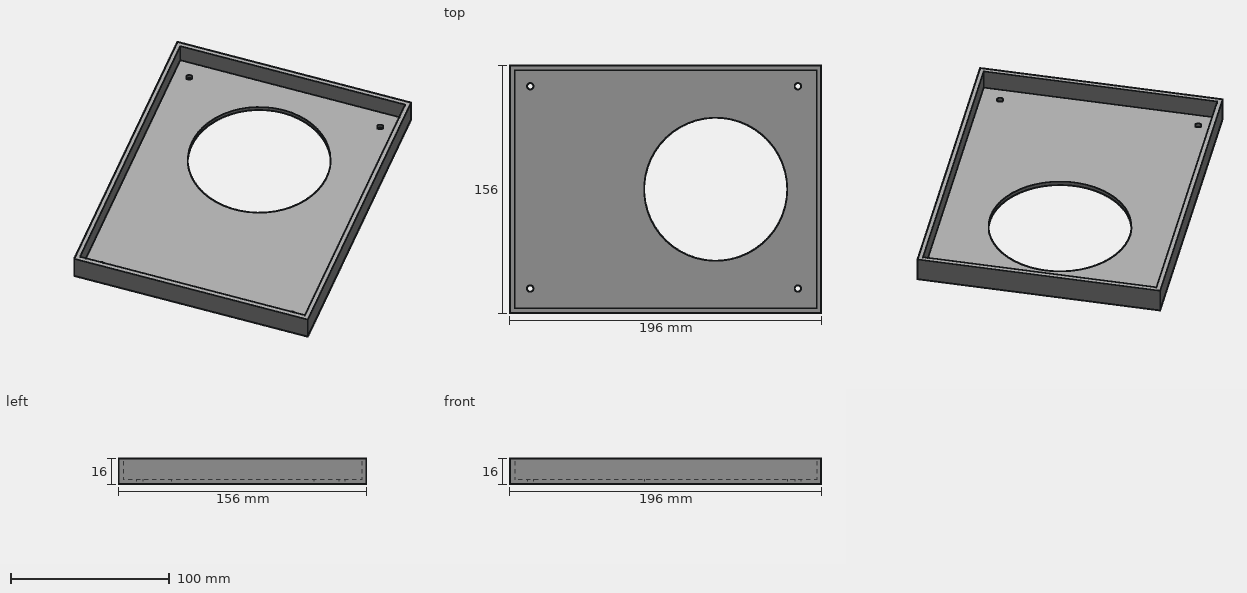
import cadquery as cq

length = 196.0
width = 156.0
height = 16.0
wall = 3.0
floor_thickness = 3.0

opening_diameter = 90.0
opening_x = 31.5

screw_diameter = 4.0
screw_spacing_x = 168.5
screw_spacing_y = 127.4
screw_centre_x = -1.0
screw_centre_y = 1.2


def make_tray():
    """Open-topped rectangular tray standing on Z = 0."""
    outer = cq.Workplane("XY").box(length, width, height, centered=(True, True, False))
    cavity = (
        cq.Workplane("XY")
        .workplane(offset=floor_thickness)
        .rect(length - 2 * wall, width - 2 * wall)
        .extrude(height - floor_thickness)
    )
    return outer.cut(cavity)


def make_opening():
    """Cutter for the large round opening."""
    return cq.Workplane("XY").center(opening_x, 0).circle(opening_diameter / 2).extrude(floor_thickness)


def make_screw_holes():
    """Cutters for the four screw holes in the floor."""
    return (
        cq.Workplane("XY")
        .center(screw_centre_x, screw_centre_y)
        .rarray(screw_spacing_x, screw_spacing_y, 2, 2)
        .circle(screw_diameter / 2)
        .extrude(floor_thickness)
    )


result = make_tray().cut(make_opening()).cut(make_screw_holes())